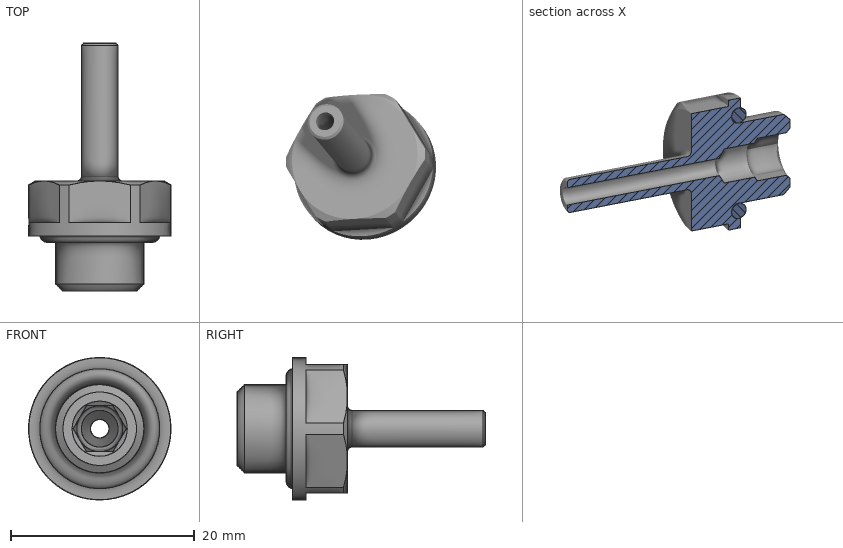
import cadquery as cq
import math


overall_length = 27.0
seal_face_y = 6.0
hex_start_y = 7.5
hex_end_y = 12.0

flange_diameter = 15.5
stud_diameter = 9.6
stem_diameter = 4.0

hex_across_flats = 14.0
hex_chamfer_angle = 30.0

stud_chamfer = 0.8
stem_end_chamfer = 0.25
stem_root_fillet = 0.5

ring_section_diameter = 1.75
ring_outer_diameter = 13.1
ring_protrusion = 0.68

socket_across_flats = 5.0
socket_depth = 4.0
mouth_diameter = 6.0
mouth_angle = 45.0
pilot_diameter = 4.0
pilot_end_y = 8.0
bore_diameter = 2.0
drill_point_angle = 118.0

flange_radius = flange_diameter / 2
stud_radius = stud_diameter / 2
stem_radius = stem_diameter / 2
ring_section_radius = ring_section_diameter / 2
ring_center_radius = ring_outer_diameter / 2 - ring_section_radius
ring_center_y = seal_face_y - ring_protrusion + ring_section_radius


def revolve_about_y(profile):
    """Turn a closed profile, drawn as (radius, y), fully about the Y axis."""
    return profile.close().revolve(360, (0, 0, 0), (0, 1, 0))


def hexagonal_prism(across_flats, start_y, end_y):
    """Hexagon along Y with two flats facing up and down."""
    across_corners = across_flats / math.cos(math.pi / 6)
    return (
        cq.Workplane("XZ", origin=(0, start_y, 0))
        .polygon(6, across_corners)
        .extrude(start_y - end_y)
    )


def make_turned_blank():
    """Stud, flange, chamfered head and stem as one turned shape."""
    head_face_radius = hex_across_flats / 2
    head_chamfer_length = (flange_radius - head_face_radius) * math.tan(math.radians(hex_chamfer_angle))
    fillet_middle = stem_root_fillet * (1 - math.sqrt(0.5))
    profile = (
        cq.Workplane("XY")
        .moveTo(0, 0)
        .lineTo(stud_radius - stud_chamfer, 0)
        .lineTo(stud_radius, stud_chamfer)
        .lineTo(stud_radius, seal_face_y)
        .lineTo(flange_radius, seal_face_y)
        .lineTo(flange_radius, hex_end_y - head_chamfer_length)
        .lineTo(head_face_radius, hex_end_y)
        .lineTo(stem_radius + stem_root_fillet, hex_end_y)
        .threePointArc(
            (stem_radius + fillet_middle, hex_end_y + fillet_middle),
            (stem_radius, hex_end_y + stem_root_fillet),
        )
        .lineTo(stem_radius, overall_length - stem_end_chamfer)
        .lineTo(stem_radius - stem_end_chamfer, overall_length)
        .lineTo(0, overall_length)
    )
    return revolve_about_y(profile)


def cut_wrench_flats(body):
    """Mill the six flats behind the flange, leaving the stem alone."""
    milling_blank = (
        cq.Workplane("XZ", origin=(0, hex_start_y, 0))
        .circle(flange_diameter)
        .extrude(hex_start_y - hex_end_y)
    )
    milled_away = milling_blank.cut(hexagonal_prism(hex_across_flats, hex_start_y, hex_end_y))
    return body.cut(milled_away)


def make_bore():
    """Tapered mouth, countersunk pilot hole with a drill point, and the through bore."""
    mouth_radius = mouth_diameter / 2
    pilot_radius = pilot_diameter / 2
    bore_radius = bore_diameter / 2
    socket_radius = socket_across_flats / 2
    mouth_length = (mouth_radius - socket_radius) / math.tan(math.radians(mouth_angle))
    point_slope = 1 / math.tan(math.radians(drill_point_angle / 2))
    profile = (
        cq.Workplane("XY")
        .moveTo(0, 0)
        .lineTo(mouth_radius, 0)
        .lineTo(socket_radius, mouth_length)
        .lineTo(socket_radius, socket_depth)
        .lineTo(pilot_radius, socket_depth + (socket_radius - pilot_radius) * point_slope)
        .lineTo(pilot_radius, pilot_end_y)
        .lineTo(bore_radius, pilot_end_y + (pilot_radius - bore_radius) * point_slope)
        .lineTo(bore_radius, overall_length)
        .lineTo(0, overall_length)
    )
    return revolve_about_y(profile)


def make_sealing_ring():
    """O-ring seated in the flange face."""
    return (
        cq.Workplane("XY")
        .center(ring_center_radius, ring_center_y)
        .circle(ring_section_radius)
        .revolve(360, (-ring_center_radius, 0, 0), (-ring_center_radius, 1, 0))
    )


def make_fitting(sealing_ring):
    """Fitting body with its wrench flats, socket, bore and ring seat."""
    fitting = cut_wrench_flats(make_turned_blank())
    fitting = fitting.cut(make_bore())
    fitting = fitting.cut(hexagonal_prism(socket_across_flats, 0, socket_depth))
    return fitting.cut(sealing_ring)


sealing_ring = make_sealing_ring()
fitting = make_fitting(sealing_ring)

result = cq.Compound.makeCompound([fitting.val(), sealing_ring.val()])